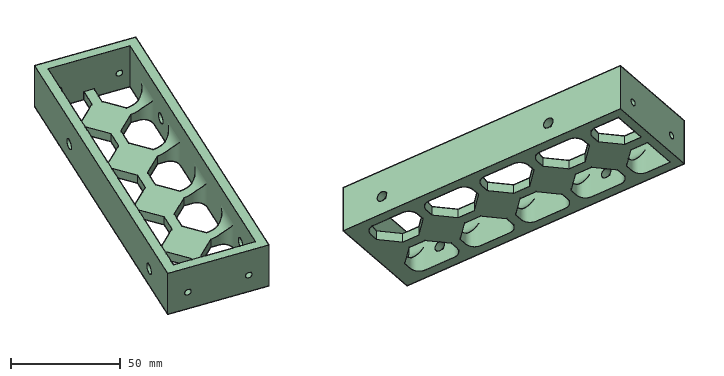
import cadquery as cq

length = 155.0
width = 50.0
height = 25.0
end_wall = 4.5
side_wall = 4.8
inner_length = length - 2 * end_wall
inner_width = width - 2 * side_wall

floor_thickness = 5.0
floor_width = 21.0
flank_radius = (inner_width - floor_width) / 2

pitch = 31.0
cell_count = 5
rib_width = 5.0
spine_width = 5.0
middle_cell_x = -6.2
cell_chamfer = 8.5
cell_corner_radius = 5.0

cell_centers = [middle_cell_x + (index - (cell_count - 1) / 2) * pitch for index in range(cell_count)]

hole_z = 10.0
side_hole_places = [cell_centers[1], cell_centers[-1]]
side_hole_diameter = 5.3
end_hole_diameter = 3.3
end_hole_spacing = 30.0
end_hole_places = [-end_hole_spacing / 2, end_hole_spacing / 2]


def make_cavity():
    """Space inside the walls, above the floor and its curved flanks."""
    return (
        cq.Workplane("XY", origin=(0, 0, floor_thickness))
        .rect(inner_length, inner_width)
        .extrude(height - floor_thickness)
        .edges("|X and <Z")
        .fillet(flank_radius)
    )


def make_cell(center_x, side):
    """One floor opening; side is +1 or -1 for the row at +Y or -Y."""
    half = (pitch - rib_width) / 2
    near = spine_width / 2
    far = inner_width / 2
    outline = [
        (half - cell_chamfer, near),
        (half, near + cell_chamfer),
        (half, far),
        (-half, far),
        (-half, near + cell_chamfer),
        (cell_chamfer - half, near),
    ]
    cell = (
        cq.Workplane("XY")
        .polyline([(center_x + x, side * y) for x, y in outline])
        .close()
        .extrude(height)
    )
    far_edges = "|Z and >Y" if side > 0 else "|Z and <Y"
    return cell.edges(far_edges).fillet(cell_corner_radius)


def make_openings():
    """All floor openings, trimmed to the inside of the frame walls."""
    inside = cq.Workplane("XY").rect(inner_length, inner_width).extrude(height)
    openings = cq.Workplane("XY")
    for center_x in cell_centers:
        for side in (1, -1):
            openings = openings.union(make_cell(center_x, side))
    return openings.intersect(inside)


def make_cross_holes(plane, span, places, diameter):
    """Holes running straight through two opposite walls of the frame."""
    return (
        cq.Workplane(plane)
        .pushPoints([(place, hole_z) for place in places])
        .circle(diameter / 2)
        .extrude(span / 2, both=True)
    )


result = (
    cq.Workplane("XY")
    .rect(length, width)
    .extrude(height)
    .cut(make_cavity())
    .cut(make_openings())
    .cut(make_cross_holes("XZ", width, side_hole_places, side_hole_diameter))
    .cut(make_cross_holes("YZ", length, end_hole_places, end_hole_diameter))
)